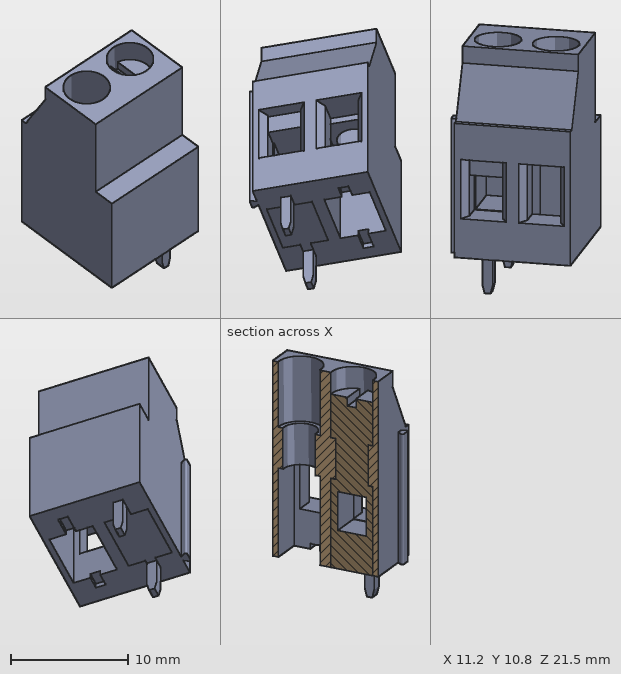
import cadquery as cq


HOUSING_LENGTH = 11.2
HOUSING_HEIGHT = 18.0
POLE_PITCH = 5.07
POLE_COUNT = 2
HOUSING_WIDTH = POLE_COUNT * POLE_PITCH
POLE_CENTERS = [(index + 0.5) * POLE_PITCH for index in range(POLE_COUNT)]
WIRED_POLE = POLE_CENTERS[-1]

FRONT_HEIGHT = 12.0
FRONT_LEDGE = 0.52
BROW_X = 2.92
BROW_HEIGHT = 1.5
TOP_BACK_X = 9.2
BACK_HEIGHT = 10.0

RIB_X = 1.72
RIB_DEPTH = 10.75 - HOUSING_WIDTH
RIB_NECK = 0.52
RIB_HEAD = 1.12
RIB_ROUNDING = 0.13

ENTRY_BOTTOM = 3.5
ENTRY_TOP = 8.8
ENTRY_HEIGHT = ENTRY_TOP - ENTRY_BOTTOM
ENTRY_WIDTH = 4.0
THROAT_WIDTH = 2.9
FUNNEL_DEPTH = 0.95
THROAT_END = 2.7

SHAFT_X = 5.4
BORE_DIAMETER = 4.0
NECK_DIAMETER = 3.1
BORE_DEPTH = 6.0
BORE_BOTTOM = HOUSING_HEIGHT - BORE_DEPTH

POCKET_LENGTH = 2 * (SHAFT_X - THROAT_END)
POCKET_WIDTH = ENTRY_WIDTH
POCKET_HEIGHT = 8.2

PASSAGE_WIDTH = 2.67
PASSAGE_SILL = 0.06
PASSAGE_BOTTOM = ENTRY_BOTTOM + PASSAGE_SILL
PASSAGE_TOP = 7.1
PASSAGE_LENGTH = 4.0
TONGUE_START = 1.15
SCREW_RECESS = 2.0
SLOT_WIDTH = 0.8
SLOT_DEPTH = 0.8
PIN_SIZE = 0.9
PIN_LENGTH = 21.5 - HOUSING_HEIGHT
PIN_TIP_LENGTH = 0.75
PIN_TIP_WIDTH = 0.52
FIRST_PIN_X = 1.94
PIN_SPACING = 7.5
BASE_BAR_HEIGHT = 0.5


def block(x_start, length, y_center, width, z_bottom, height):
    """A box that starts at x_start and z_bottom and is centred on y_center."""
    corner = (x_start, y_center - width / 2, z_bottom)
    return cq.Workplane("XY").box(length, width, height, centered=False).translate(corner)


def cylinder(diameter, y_center, z_bottom, z_top):
    """An upright cylinder on the screw axis of a pole."""
    base = cq.Workplane("XY", origin=(SHAFT_X, y_center, z_bottom))
    return base.circle(diameter / 2).extrude(z_top - z_bottom)


def make_pocket(y_center):
    """The space for a terminal cage and for the bar that carries its pins."""
    cage_space = block(THROAT_END, POCKET_LENGTH, y_center, POCKET_WIDTH, 0, POCKET_HEIGHT)
    bar_start = FIRST_PIN_X - PIN_SIZE / 2
    bar_space = block(bar_start, PIN_SPACING + PIN_SIZE, y_center, PIN_SIZE, 0, BASE_BAR_HEIGHT)
    return cage_space.union(bar_space)


def make_wire_entry(y_center):
    """The funnel and throat that lead from the front face to the pocket."""
    outline = [
        (0, y_center - ENTRY_WIDTH / 2),
        (FUNNEL_DEPTH, y_center - THROAT_WIDTH / 2),
        (THROAT_END, y_center - THROAT_WIDTH / 2),
        (THROAT_END, y_center + THROAT_WIDTH / 2),
        (FUNNEL_DEPTH, y_center + THROAT_WIDTH / 2),
        (0, y_center + ENTRY_WIDTH / 2),
    ]
    base = cq.Workplane("XY", origin=(0, 0, ENTRY_BOTTOM))
    return base.polyline(outline).close().extrude(ENTRY_HEIGHT)


def make_screw_shaft(y_center):
    """The screwdriver bore and the narrower neck between it and the pocket."""
    bore = cylinder(BORE_DIAMETER, y_center, BORE_BOTTOM, HOUSING_HEIGHT)
    neck = cylinder(NECK_DIAMETER, y_center, POCKET_HEIGHT, BORE_BOTTOM)
    return bore.union(neck)


def make_rib():
    """The dovetail rib with a rounded head."""
    outline = [
        (RIB_X - RIB_NECK / 2, HOUSING_WIDTH),
        (RIB_X + RIB_NECK / 2, HOUSING_WIDTH),
        (RIB_X + RIB_HEAD / 2, HOUSING_WIDTH + RIB_DEPTH),
        (RIB_X - RIB_HEAD / 2, HOUSING_WIDTH + RIB_DEPTH),
    ]
    rib = cq.Workplane("XY").polyline(outline).close().extrude(FRONT_HEIGHT)
    return rib.faces(">Y").edges("|Z").fillet(RIB_ROUNDING)


def make_housing():
    profile = [
        (0, 0),
        (HOUSING_LENGTH, 0),
        (HOUSING_LENGTH, BACK_HEIGHT),
        (TOP_BACK_X, BACK_HEIGHT),
        (TOP_BACK_X, HOUSING_HEIGHT),
        (BROW_X, HOUSING_HEIGHT),
        (BROW_X, HOUSING_HEIGHT - BROW_HEIGHT),
        (FRONT_LEDGE, FRONT_HEIGHT),
        (0, FRONT_HEIGHT),
    ]
    body = cq.Workplane("XZ").polyline(profile).close().extrude(-HOUSING_WIDTH)
    body = body.union(make_rib())
    for y_center in POLE_CENTERS:
        body = body.cut(make_pocket(y_center))
        body = body.cut(make_wire_entry(y_center))
        body = body.cut(make_screw_shaft(y_center))
    return body


def make_pin(x_center, y_center):
    """A square pin whose tip narrows in Y."""
    half_width = PIN_SIZE / 2
    half_tip = PIN_TIP_WIDTH / 2
    taper_z = PIN_TIP_LENGTH - PIN_LENGTH
    outline = [
        (y_center - half_width, 0),
        (y_center - half_width, taper_z),
        (y_center - half_tip, -PIN_LENGTH),
        (y_center + half_tip, -PIN_LENGTH),
        (y_center + half_width, taper_z),
        (y_center + half_width, 0),
    ]
    base = cq.Workplane("YZ", origin=(x_center - PIN_SIZE / 2, 0, 0))
    return base.polyline(outline).close().extrude(PIN_SIZE)


def make_screw(y_center):
    """The slotted screw, which fills the shaft up to its recessed head."""
    head_top = HOUSING_HEIGHT - SCREW_RECESS
    head = cylinder(BORE_DIAMETER, y_center, BORE_BOTTOM, head_top)
    shank = cylinder(NECK_DIAMETER, y_center, POCKET_HEIGHT, BORE_BOTTOM)
    slot_start = SHAFT_X - BORE_DIAMETER / 2
    slot = block(slot_start, BORE_DIAMETER, y_center, SLOT_WIDTH, head_top - SLOT_DEPTH, SLOT_DEPTH)
    return head.union(shank).cut(slot)


def make_terminal(y_center):
    """The wire cage with its tongue, clamping screw and two solder pins."""
    passage_height = PASSAGE_TOP - PASSAGE_BOTTOM
    passage = block(
        THROAT_END, PASSAGE_LENGTH, y_center, PASSAGE_WIDTH, PASSAGE_BOTTOM, passage_height
    )
    tongue_length = THROAT_END - TONGUE_START
    tongue_height = ENTRY_TOP - PASSAGE_TOP
    tongue = block(
        TONGUE_START, tongue_length, y_center, THROAT_WIDTH, PASSAGE_TOP, tongue_height
    )
    terminal = make_pocket(y_center).cut(passage)
    terminal = terminal.union(tongue).union(make_screw(y_center))
    for x_center in (FIRST_PIN_X, FIRST_PIN_X + PIN_SPACING):
        terminal = terminal.union(make_pin(x_center, y_center))
    return terminal


housing = make_housing()
terminal = make_terminal(WIRED_POLE)
result = cq.Compound.makeCompound([housing.val(), terminal.val()])